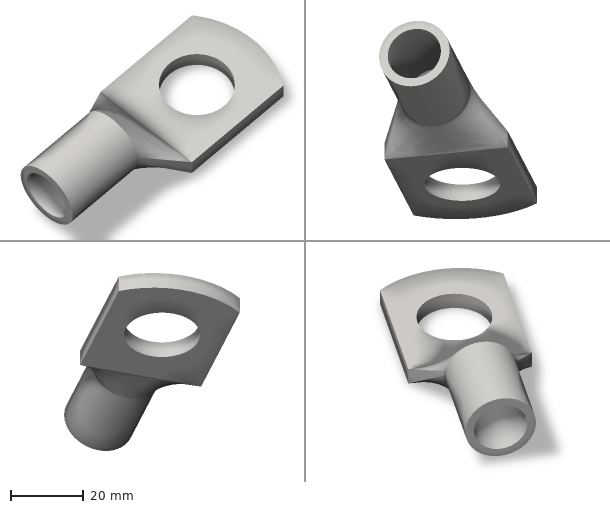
import cadquery as cq

total_length = 82.0
palm_width = 35.0
palm_thickness = 5.0
palm_start = 39.8
tip_rise = 5.65
hole_diameter = 21.0
hole_center_y = 60.0

barrel_diameter = 20.0
bore_diameter = 15.1
barrel_length = 26.15
barrel_underside = 2.0
barrel_center_z = barrel_underside + barrel_diameter / 2


def section_plane(y):
    """Cross-section plane at the given Y, centred on X = 0, facing the palm."""
    return cq.Plane(origin=(0, y, 0), xDir=(-1, 0, 0), normal=(0, 1, 0))


def make_barrel():
    """Solid round barrel, before boring."""
    return (
        cq.Workplane(section_plane(0))
        .center(0, barrel_center_z)
        .circle(barrel_diameter / 2)
        .extrude(barrel_length)
    )


def make_transition():
    """Loft from the round barrel to the flat palm."""
    return (
        cq.Workplane(section_plane(barrel_length))
        .center(0, barrel_center_z)
        .circle(barrel_diameter / 2)
        .workplane(offset=palm_start - barrel_length)
        .center(0, palm_thickness / 2 - barrel_center_z)
        .rect(palm_width, palm_thickness)
        .loft(ruled=True)
    )


def make_palm():
    """Flat palm with a shallow arched tip and a bolt hole."""
    half_width = palm_width / 2
    shoulder_y = total_length - tip_rise
    return (
        cq.Workplane("XY")
        .moveTo(-half_width, palm_start)
        .lineTo(half_width, palm_start)
        .lineTo(half_width, shoulder_y)
        .threePointArc((0, total_length), (-half_width, shoulder_y))
        .close()
        .moveTo(0, hole_center_y)
        .circle(hole_diameter / 2)
        .extrude(palm_thickness)
    )


def make_bore():
    """Blind wire bore, as deep as the cylindrical barrel."""
    return (
        cq.Workplane(section_plane(0))
        .center(0, barrel_center_z)
        .circle(bore_diameter / 2)
        .extrude(barrel_length)
    )


result = make_barrel().union(make_transition()).union(make_palm()).cut(make_bore())